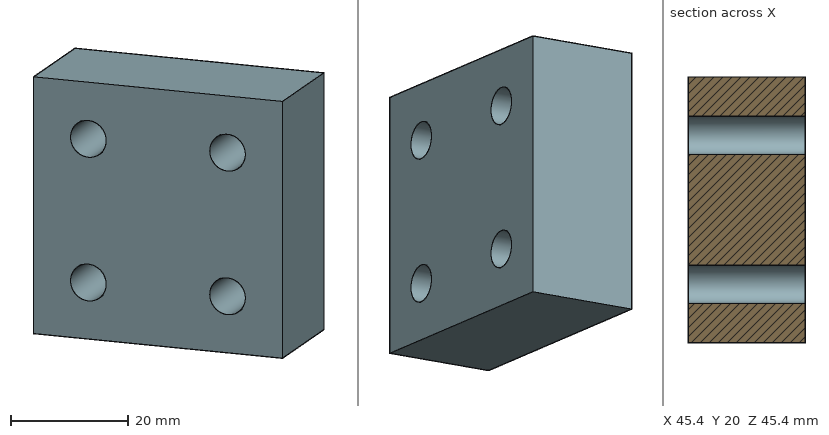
import cadquery as cq

side = 45.4
thickness = 20.0
hole_diameter = 6.5
hole_spacing = 25.4

block = cq.Workplane("XZ").rect(side, side).extrude(thickness / 2, both=True)

result = (
    block.faces("<Y")
    .workplane(origin=(0, 0, 0))
    .rect(hole_spacing, hole_spacing, forConstruction=True)
    .vertices()
    .hole(hole_diameter)
)